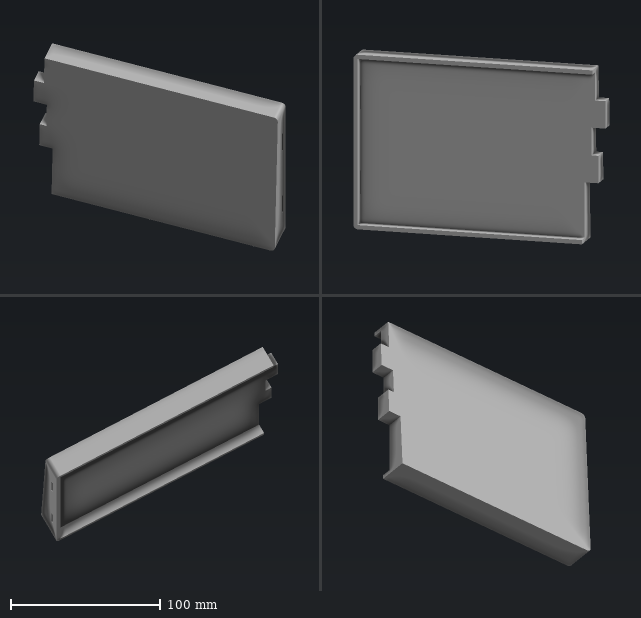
import cadquery as cq

length = 173.4
height = 120.3
bottom_thickness = 21.3
top_thickness = 15.0

wall = 3.0
tray_depth = 7.0
corner_radius = 3.1

top_setback = 7.1
upper_tab_drop = 22.4
tab_height = 18.9
notch_height = 19.0
tab_reach = 9.5
lower_tab_setback = 4.9
bottom_setback = lower_tab_setback + tab_reach
upper_tab_top = height - upper_tab_drop
upper_tab_bottom = upper_tab_top - tab_height
lower_tab_top = upper_tab_bottom - notch_height
lower_tab_bottom = lower_tab_top - tab_height

slot_height = 16.1
slot_width = 1.5
slot_edge_distance = 22.9


def block(x_range, y_range, z_range):
    """Axis-aligned box between the given limits."""
    (x0, x1), (y0, y1), (z0, z1) = x_range, y_range, z_range
    return cq.Workplane("XY").box(x1 - x0, y1 - y0, z1 - z0, centered=False).translate((x0, y0, z0))


def tapered_body():
    """Wedge that is thicker at the bottom, with rounded right-hand corners."""
    side_profile = [(0, 0), (-bottom_thickness, 0), (-top_thickness, height), (0, height)]
    wedge = cq.Workplane("YZ").polyline(side_profile).close().extrude(length)
    face_outline = [
        (bottom_setback, 0),
        (length, 0),
        (length, height),
        (top_setback, height),
        (top_setback, upper_tab_top),
        (0, upper_tab_top),
        (0, upper_tab_bottom),
        (tab_reach, upper_tab_bottom),
        (tab_reach, lower_tab_top),
        (lower_tab_setback, lower_tab_top),
        (lower_tab_setback, lower_tab_bottom),
        (bottom_setback, lower_tab_bottom),
    ]
    plate = cq.Workplane("XZ").polyline(face_outline).close().extrude(bottom_thickness)
    plate = plate.edges("|Y and >X").fillet(corner_radius)
    return wedge.intersect(plate)


def tray():
    """Back recess, open at the left end and closed by walls on the other three sides."""
    return block((0, length - wall), (-tray_depth, 0), (wall, height - wall))


def wall_slot(bottom):
    """Slot through the right wall with its lower end at the given height."""
    return block(
        (length - 2 * wall, length),
        (-tray_depth, slot_width - tray_depth),
        (bottom, bottom + slot_height),
    )


result = tapered_body().cut(tray())
for slot_bottom in (slot_edge_distance, height - slot_edge_distance - slot_height):
    result = result.cut(wall_slot(slot_bottom))